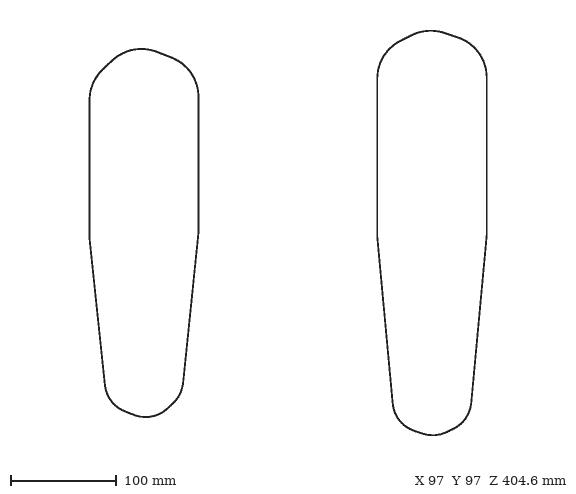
import cadquery as cq
import math

body_width = 97.0
bottom_width = 67.0
total_height = 404.64
straight_height = 154.0
upper_radius = 40.0
lower_radius = 30.0

taper_height = total_height - straight_height
lean_per_height = (body_width - bottom_width) / 2 / taper_height
taper_angle = math.degrees(math.atan(lean_per_height))
envelope_top_width = bottom_width + 2 * lean_per_height * total_height


def straight_body():
    """Square bar over the full height, with rounded corners and top rim."""
    bar = cq.Workplane("XY").rect(body_width, body_width).extrude(total_height)
    rounded_bar = bar.edges("|Z").fillet(upper_radius)
    return rounded_bar.faces(">Z").edges().fillet(upper_radius)


def tapered_envelope():
    """Pyramid frustum narrowing downward, with rounded corners and bottom rim."""
    frustum = (
        cq.Workplane("XY", origin=(0, 0, total_height))
        .rect(envelope_top_width, envelope_top_width)
        .extrude(-total_height, taper=taper_angle)
    )
    corners_and_bottom_rim = frustum.edges("(not #Z) or <Z")
    return corners_and_bottom_rim.fillet(lower_radius)


result = straight_body().intersect(tapered_envelope())